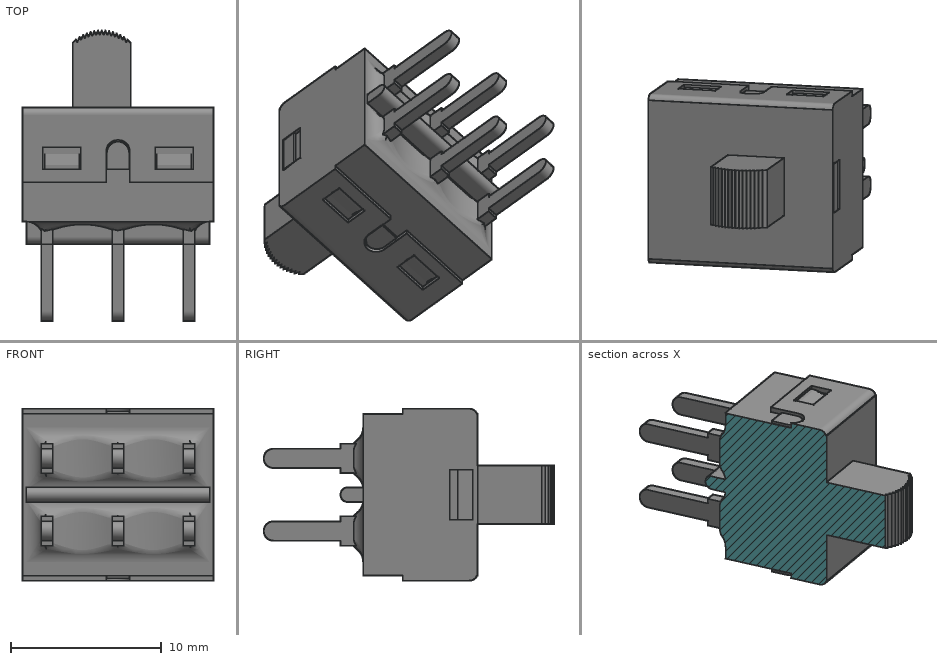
import cadquery as cq
import math


body_length = 12.7
body_depth = 7.6
cover_height = 11.43
cover_step = 0.35
cover_front = 2.62
cover_edge_radius = 0.55
base_height = cover_height - 2 * cover_step

root_depth = 0.2

latch_front = 3.47
catch_drop = 0.17
window_offset = 3.72
window_length = 2.53
window_width = 1.47
catch_length = 2.3
catch_flat = 0.29
catch_depth = 1.0
slot_width = 1.58
slot_end = 5.42
slot_side_gap = 0.05
slot_end_gap = 0.12

recess_front = 5.75
recess_step = 6.3
recess_back = 7.28
recess_height = 3.32
recess_depth = 0.2
ramp_depth = 0.068

slider_reach = 5.1
slider_tip = body_depth + slider_reach
slider_center = -1.08
slider_length = 3.86
slider_height = 3.9
slider_shoulder_drop = 0.83
outer_tooth_run = 0.08
valley_arc_radius = 2.93
valley_count = 14
valley_pitch = 0.25
flank_slope = 2.3

pin_pitch = 4.7
pin_row_offset = 2.41
pin_thickness = 0.77
pin_height = 1.3
pin_reach = 6.6
shoulder_height = 1.97
shoulder_reach = 1.5

rib_length = 12.15
rib_thickness = 0.98
mound_height = 0.83
mound_half_width = 2.05
mound_flank_reach = 1.06
mound_scallop_height = 0.2
mound_edge_radius = 0.58
edge_clearance = 0.002


def box(x_range, y_range, z_range):
    """Axis-aligned box from three (low, high) ranges."""
    size = [high - low for low, high in (x_range, y_range, z_range)]
    center = [(high + low) / 2 for low, high in (x_range, y_range, z_range)]
    return cq.Workplane("XY").box(*size).translate(tuple(center))


def centered(size, center=0.0):
    """(low, high) range of a size about a centre."""
    return (center - size / 2, center + size / 2)


def both_sides(solid, plane):
    """The solid together with its mirror image."""
    return solid.union(solid.mirror(plane))


def make_housing():
    base = box(centered(body_length), (0, body_depth), centered(base_height))
    cover = box(centered(body_length), (cover_front, body_depth), centered(cover_height))
    return base.union(cover.edges(">Y and |X").fillet(cover_edge_radius))


def slot_outline(width, front, end):
    """Slot in plan, square at the front and round at the far end."""
    radius = width / 2
    return (
        cq.Workplane("XY")
        .moveTo(-radius, front)
        .lineTo(radius, front)
        .lineTo(radius, end - radius)
        .threePointArc((0, end), (-radius, end - radius))
        .close()
    )


def make_latch_cuts():
    """Material removed from the top of the cover around the catches and the locating tab."""
    floor = base_height / 2
    catch_top = cover_height / 2 - catch_drop
    slot = slot_outline(slot_width, cover_front, slot_end).extrude(cover_step)
    tab = slot_outline(slot_width - 2 * slot_side_gap, latch_front, slot_end - slot_end_gap)
    cuts = slot.cut(tab.extrude(cover_step - catch_drop)).translate((0, 0, floor))
    for x in (-window_offset, window_offset):
        window = box(
            centered(window_length, x),
            (latch_front, latch_front + window_width),
            (floor, cover_height / 2),
        )
        catch = (
            cq.Workplane("YZ")
            .moveTo(latch_front, floor)
            .lineTo(latch_front + catch_depth, floor)
            .lineTo(latch_front + catch_flat, catch_top)
            .lineTo(latch_front, catch_top)
            .close()
            .extrude(catch_length / 2, both=True)
            .translate((x, 0, 0))
        )
        cuts = cuts.union(window.cut(catch))
    return cuts


def make_end_recess():
    """Recess in the -X end: a square groove beside a shallow ramp."""
    wall = -body_length / 2
    groove = box((wall, wall + recess_depth), (recess_front, recess_step), centered(recess_height))
    ramp = (
        cq.Workplane("XY")
        .moveTo(wall, recess_step)
        .lineTo(wall + ramp_depth, recess_back)
        .lineTo(wall, recess_back)
        .close()
        .extrude(recess_height / 2, both=True)
    )
    return groove.union(ramp)


def make_slider():
    """Rectangular knob whose domed end carries V-shaped grip grooves."""
    half = slider_length / 2

    def arc_drop(x):
        return valley_arc_radius - math.sqrt(valley_arc_radius**2 - x**2)

    half_pitch = valley_pitch / 2
    crown = slider_tip - flank_slope * half_pitch + arc_drop(half_pitch)
    valleys = []
    for i in range(valley_count):
        x = (i - (valley_count - 1) / 2) * valley_pitch
        valleys.append((x, crown - arc_drop(x)))

    teeth = []
    for (x1, y1), (x2, y2) in zip(valleys, valleys[1:]):
        rise = (flank_slope * (x2 - x1) + y2 - y1) / 2
        teeth.append((x1 + rise / flank_slope, y1 + rise))

    outer_x, outer_y = valleys[-1]
    tooth_x = outer_x + outer_tooth_run
    tooth_y = outer_y + flank_slope * outer_tooth_run
    shoulder = slider_tip - slider_shoulder_drop
    root = body_depth - root_depth
    points = [(-half, root), (-half, shoulder), (-tooth_x, tooth_y)]
    for valley, tooth in zip(valleys, teeth):
        points += [valley, tooth]
    points += [valleys[-1], (tooth_x, tooth_y), (half, shoulder), (half, root)]
    knob = cq.Workplane("XY").polyline(points).close().extrude(slider_height / 2, both=True)
    return knob.translate((slider_center, 0, 0))


def make_blade(height, reach, thickness):
    """Flat blade along -Y with a full-round tip."""
    radius = height / 2
    return (
        cq.Workplane("YZ")
        .moveTo(root_depth, -radius)
        .lineTo(radius - reach, -radius)
        .threePointArc((-reach, 0), (radius - reach, radius))
        .lineTo(root_depth, radius)
        .close()
        .extrude(thickness / 2, both=True)
    )


def make_pin():
    shoulder = box(centered(pin_thickness), (-shoulder_reach, root_depth), centered(shoulder_height))
    return make_blade(pin_height, pin_reach, pin_thickness).union(shoulder)


def make_mound():
    """Sealing mound of one pin row, scalloped between the pins, with concave flanks all round."""
    end = rib_length / 2
    side = mound_half_width

    flank_radius = (mound_flank_reach**2 + mound_height**2) / (2 * mound_height)
    half_angle = math.atan2(mound_height, mound_flank_reach)
    run = flank_radius * math.sin(half_angle)
    rise = flank_radius * (1 - math.cos(half_angle))

    crest = end - mound_flank_reach
    scallop_rise = mound_height - mound_scallop_height
    scallop_reach = crest - pin_pitch / 2
    scallop_radius = (scallop_reach**2 + scallop_rise**2) / (2 * scallop_rise)
    middle_rise = scallop_radius - math.sqrt(scallop_radius**2 - (pin_pitch / 2) ** 2)
    lengthwise = (
        cq.Workplane("XY")
        .moveTo(-end, root_depth)
        .lineTo(-end, 0)
        .threePointArc((run - end, -rise), (-crest, -mound_height))
        .threePointArc((-pin_pitch / 2, -mound_scallop_height), (0, -mound_scallop_height - middle_rise))
        .threePointArc((pin_pitch / 2, -mound_scallop_height), (crest, -mound_height))
        .threePointArc((end - run, -rise), (end, 0))
        .lineTo(end, root_depth)
        .close()
        .extrude(side, both=True)
    )
    top = side - mound_flank_reach
    crosswise = (
        cq.Workplane("YZ")
        .moveTo(root_depth, -side)
        .lineTo(0, -side)
        .threePointArc((-rise, run - side), (-mound_height, -top))
        .lineTo(-mound_height, top)
        .threePointArc((-rise, side - run), (0, side))
        .lineTo(root_depth, side)
        .close()
        .extrude(end, both=True)
    )
    mound = lengthwise.intersect(crosswise)

    raised = cq.selectors.BoxSelector((-end, -mound_height, -side), (end, -edge_clearance, side))
    return mound.edges(raised).edges("not |Z").fillet(mound_edge_radius)


result = make_housing()
result = result.cut(both_sides(make_latch_cuts(), "XY"))
result = result.cut(both_sides(make_end_recess(), "YZ"))
result = result.union(make_slider())
result = result.union(make_blade(rib_thickness, shoulder_reach, rib_length))
for row_z in (-pin_row_offset, pin_row_offset):
    result = result.union(make_mound().translate((0, 0, row_z)))
    for pin_x in (-pin_pitch, 0, pin_pitch):
        result = result.union(make_pin().translate((pin_x, 0, row_z)))